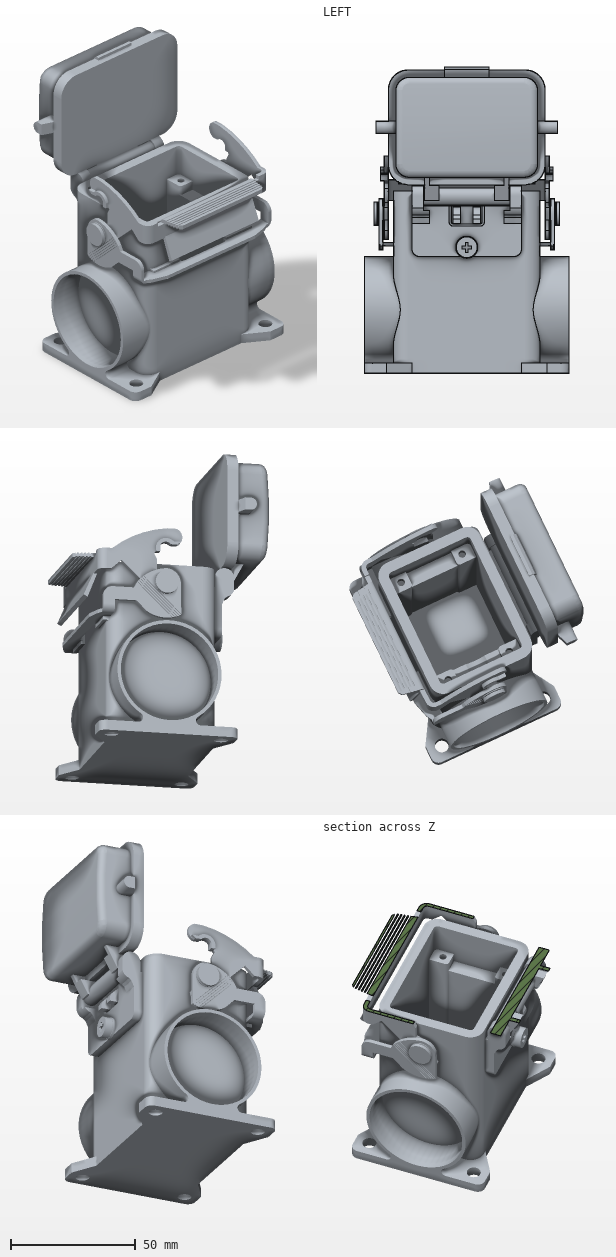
import cadquery as cq
import math


BODY_X = 44.6
BODY_Y = 58.6
BODY_HEIGHT = 73.1
BODY_CORNER = 5.8
CAVITY_X = 36.2
CAVITY_Y = 50.2
CAVITY_CORNER = 1.6
FLANGE_X = 57.0
FLANGE_Y = 82.0
FLANGE_THICK = 4.1
FLANGE_CORNER = 3.1
TAB_STRAIGHT_Y = 32.2
TAB_ROOT_Y = 21.9
MOUNT_HOLE_X = 22.5
MOUNT_HOLE_Y = 34.9
MOUNT_HOLE_D = 5.6

BOSS_X = 8.1
BOSS_Y = 6.6
BOSS_TOP = 60.0
BOSS_CORNER = 1.2
BOSS_HOLE_X = 13.5
BOSS_HOLE_Y = 22.0
BOSS_HOLE_D = 3.0
BOSS_HOLE_DEPTH = 12.0
LEDGE_TOP = 56.0
LEDGE_Y = {1: 6.6, -1: 5.9}
LEDGE_GROOVE_R = 6.0
LEDGE_GROOVE_WIDTH = 8.4

PORT_Z = 25.5
PORT_R = 21.4
PORT_BORE_R = 20.0
PORT_DEPTH = 13.5
PORT_WEB_FILLET = 1.9

OVERALL_HEIGHT = 122.73
COVER_Z = 98.5
RIM_FACE_X = -26.0
RIM_THICK = 4.6
RIM_Y = 62.8
RIM_Z = 46.0
RIM_CORNER = 8.0
DOME_CROWN_X = -44.4
DOME_EDGE_X = -43.2
DOME_Y = 56.8
DOME_Z = 40.0
DOME_CORNER = 5.4
DOME_FILLET = 2.8
LIFT_TAB_Y = 18.0
LIFT_TAB_FRONT_X = -28.5
PIN_X = -34.5
PIN_R = 2.5
PIN_END_Y = 36.4
PIN_TAPER_X = -32.3
PIN_TAPER_Y = 32.0

PLATE_FACE_X = -26.0
PLATE_BOTTOM = 46.8
PLATE_TOP = 67.0
PLATE_Y = 43.8
PLATE_CORNER = 3.0
HINGE_X = -27.1
HINGE_Z = 71.2
HINGE_R = 3.9
BARREL_Z = 70.8
BARREL_R = 3.4
KNUCKLE_OUTER_Y = 21.9
KNUCKLE_INNER_Y = 17.3
KNUCKLE_FOOT_Y = 15.0
KNUCKLE_FOOT_TOP = 65.3
ARM_OUTER_Y = 16.9
ARM_INNER_Y = 14.9
ARM_FOOT_Y = 11.1
ARM_FOOT_TOP = 75.3
WINDOW_Y = 14.1
WINDOW_BOTTOM = 59.0
WINDOW_DEPTH = 1.2
WINDOW_CORNER = 1.6
WINDOW_BEVEL = 0.9
PRONG_INNER_Y = 2.5
PRONG_OUTER_Y = 5.5
SCREW_Z = 50.5
SCREW_R = 4.2
SCREW_FACE_X = -30.3
WASHER_R = 4.4
WASHER_THICK = 1.1
RECESS_LENGTH = 4.0
RECESS_WIDTH = 1.2
RECESS_DEPTH = 1.2

PIVOT_Z = 64.0
PIVOT_PIN_R = 2.9
PIVOT_HEAD_R = 4.7
PIVOT_HEAD_INNER_Y = 35.9
PIVOT_HEAD_OUTER_Y = 37.2
COLLAR_GAP = 0.3
LEVER_ROUND_R = 6.0
TAIL_X = -2.1
TAIL_Z = 57.3
TAIL_R = 3.7
INNER_PLATE_Y = (31.4, 33.1)
OUTER_PLATE_Y = (33.6, 35.2)
HOOK_LIP_OUTER_Y = 34.6
HOOK_NOSE = (-4.6, 80.1)
HOOK_MOUTH_START = (-2.1, 80.2)
HOOK_MOUTH_MID = (0.2, 81.1)
HOOK_MOUTH_END = (2.25, 79.7)
HOOK_LIP_END_X = 4.0
HOOK_LIP_END_Z = 77.1
UPPER_BAR_X = (25.2, 27.1)
UPPER_BAR_Z = (69.2, 77.6)
UPPER_BEND_X = 22.0
BEND_R = 3.4
GRIP_END_X = 35.4
GRIP_THICK = 1.7
GRIP_BEND_R = 1.5
GRIP_ROOT_Y = 24.3
GRIP_END_Y = 22.6
GRIP_CORNER = 1.2
GRIP_GROOVES = 5
GRIP_GROOVE_WIDTH = 0.7
GRIP_GROOVE_DEPTH = 0.35
GRIP_GAP_Y = 3.0
GRIP_GAP_DEPTH = 1.7
SKIRT_HALF_Y = 23.5
LOWER_BAR_Z = 51.0
LOWER_BAR_THICK = 1.5
LOWER_BAR_INNER_X = 21.0
LOWER_BAR_X = 27.0
LOWER_BAR_Y = 30.4
LOWER_LIP_X = 29.0
LOWER_NOTCH_X = 24.6
LOWER_NOTCH_Y = 12.2
LOWER_NOTCH_CORNER = 1.5
BAR_WALL_OVERLAP = 0.5
LOWER_BEND_Z = 54.0
LOWER_BEND_R = 2.8
LOWER_END_X = 25.8
KNURL_START = (-6.2, 51.1)
KNURL_LENGTH = 21.5
KNURL_PITCH = 0.9
KNURL_COUNT = 5
KNURL_WIDTH = 0.35
KNURL_DEPTH = 0.4
KNURL_ANGLE = 44
LUG_X = 23.9
LUG_INNER_Y = 12.5
LUG_OUTER_Y = 26.5
LUG_BOTTOM = 49.5
LUG_HEIGHT = 4.0

OVERLAP = 1.0


def box(x, y, z):
    """Box spanning the (low, high) ranges x, y and z."""
    size = [high - low for low, high in (x, y, z)]
    centre = tuple((low + high) / 2 for low, high in (x, y, z))
    return cq.Workplane("XY").box(*size).translate(centre)


def along_y(profile, y_low, y_high):
    """Extrude a closed XZ sketch from y_low to y_high."""
    return profile.extrude(y_high - y_low).translate((0, y_high, 0))


def outline(points):
    return cq.Workplane("XZ").polyline(points).close()


def disc_y(x, z, radius, y_low, y_high):
    return along_y(cq.Workplane("XZ").center(x, z).circle(radius), y_low, y_high)


def disc_x(z, radius, x_low, x_high):
    return cq.Workplane("YZ").center(0, z).circle(radius).extrude(x_high - x_low).translate((x_low, 0, 0))


def both_sides(solid):
    return solid.union(solid.mirror("XZ"))


def make_flange():
    plate = box((-FLANGE_X / 2, FLANGE_X / 2), (-FLANGE_Y / 2, FLANGE_Y / 2), (0, FLANGE_THICK))
    plate = plate.edges("|Z").fillet(FLANGE_CORNER)
    for side in (-1, 1):
        notch = [
            (side * BODY_X / 2, TAB_ROOT_Y),
            (side * FLANGE_X / 2, TAB_STRAIGHT_Y),
            (side * FLANGE_X / 2, -TAB_STRAIGHT_Y),
            (side * BODY_X / 2, -TAB_ROOT_Y),
        ]
        plate = plate.cut(cq.Workplane("XY").polyline(notch).close().extrude(FLANGE_THICK))
    holes = cq.Workplane("XY").rect(2 * MOUNT_HOLE_X, 2 * MOUNT_HOLE_Y, forConstruction=True).vertices()
    return plate.cut(holes.circle(MOUNT_HOLE_D / 2).extrude(FLANGE_THICK))


def make_port():
    """Cable entry stub on the -Y side, joined to the flange by a filleted web."""
    end_y = -FLANGE_Y / 2
    root_y = -CAVITY_Y / 2
    stub = disc_y(0, PORT_Z, PORT_R, end_y, root_y)
    fillet_z = FLANGE_THICK + PORT_WEB_FILLET
    reach = PORT_R + PORT_WEB_FILLET
    fillet_x = math.sqrt(reach ** 2 - (PORT_Z - fillet_z) ** 2)
    touch_x = fillet_x * PORT_R / reach
    touch_z = PORT_Z - (PORT_Z - fillet_z) * PORT_R / reach
    web = outline([
        (-fillet_x, FLANGE_THICK), (fillet_x, FLANGE_THICK), (touch_x, touch_z), (-touch_x, touch_z),
    ])
    web = along_y(web, end_y, root_y)
    for side in (-1, 1):
        web = web.cut(disc_y(side * fillet_x, fillet_z, PORT_WEB_FILLET, end_y, root_y))
    return stub.union(web)


def make_cavity():
    """Inside space of the housing, with the corner bosses and end ledges left standing."""
    half_x = CAVITY_X / 2
    half_y = CAVITY_Y / 2
    space = box((-half_x, half_x), (-half_y, half_y), (FLANGE_THICK, BODY_HEIGHT))
    space = space.edges("|Z").fillet(CAVITY_CORNER)
    boss = box((half_x - BOSS_X, half_x), (half_y - BOSS_Y, half_y), (FLANGE_THICK, BOSS_TOP))
    boss = boss.edges("|Z and <X and <Y").fillet(BOSS_CORNER)
    hole = cq.Workplane("XY").center(BOSS_HOLE_X, BOSS_HOLE_Y).circle(BOSS_HOLE_D / 2)
    hole = hole.extrude(-BOSS_HOLE_DEPTH).translate((0, 0, BOSS_TOP))
    boss = both_sides(boss.cut(hole))
    furniture = boss.union(boss.mirror("YZ"))
    for side, width in LEDGE_Y.items():
        y_range = sorted((side * half_y, side * (half_y - width)))
        furniture = furniture.union(box((-half_x, half_x), y_range, (FLANGE_THICK, LEDGE_TOP)))
    groove_rise = math.sqrt(LEDGE_GROOVE_R ** 2 - (LEDGE_GROOVE_WIDTH / 2) ** 2)
    groove = disc_y(0, LEDGE_TOP + groove_rise, LEDGE_GROOVE_R, half_y - LEDGE_Y[1], half_y)
    return space.cut(furniture.cut(groove))


def make_housing():
    body = box((-BODY_X / 2, BODY_X / 2), (-BODY_Y / 2, BODY_Y / 2), (0, BODY_HEIGHT))
    body = body.edges("|Z").fillet(BODY_CORNER)
    body = body.union(make_flange()).union(both_sides(make_port()))
    bore = disc_y(0, PORT_Z, PORT_BORE_R, -FLANGE_Y / 2, PORT_DEPTH - FLANGE_Y / 2)
    return body.cut(make_cavity()).cut(both_sides(bore))


def make_cover():
    dome_rear_x = RIM_FACE_X - RIM_THICK
    dome_top = COVER_Z + DOME_Z / 2
    dome_bottom = COVER_Z - DOME_Z / 2
    rim = box((dome_rear_x, RIM_FACE_X), (-RIM_Y / 2, RIM_Y / 2), (COVER_Z - RIM_Z / 2, COVER_Z + RIM_Z / 2))
    rim = rim.edges("|X").fillet(RIM_CORNER)

    crowned = (
        cq.Workplane("XZ")
        .moveTo(dome_rear_x, dome_bottom)
        .lineTo(DOME_EDGE_X, dome_bottom)
        .threePointArc((DOME_CROWN_X, COVER_Z), (DOME_EDGE_X, dome_top))
        .lineTo(dome_rear_x, dome_top)
        .close()
    )
    dome = along_y(crowned, -DOME_Y / 2, DOME_Y / 2)
    blank = box((DOME_CROWN_X, dome_rear_x), (-DOME_Y / 2, DOME_Y / 2), (dome_bottom, dome_top))
    dome = dome.intersect(blank.edges("|X").fillet(DOME_CORNER))
    dome = dome.faces("<X").edges().fillet(DOME_FILLET)

    lift_tab = outline([
        (-31.9, dome_top), (-31.1, 121.6), (-29.9, OVERALL_HEIGHT),
        (LIFT_TAB_FRONT_X, OVERALL_HEIGHT), (LIFT_TAB_FRONT_X, dome_top),
    ])
    lift_tab = along_y(lift_tab, -LIFT_TAB_Y / 2, LIFT_TAB_Y / 2)
    return rim.union(dome).union(lift_tab).union(both_sides(make_cover_pin()))


def make_cover_pin():
    """Locking pin on the +Y flank of the cover, tapered towards the rim."""
    rim_x = RIM_FACE_X - RIM_THICK
    pin = (
        cq.Workplane("XZ")
        .moveTo(rim_x, COVER_Z - PIN_R)
        .lineTo(PIN_X, COVER_Z - PIN_R)
        .threePointArc((PIN_X - PIN_R, COVER_Z), (PIN_X, COVER_Z + PIN_R))
        .lineTo(rim_x, COVER_Z + PIN_R)
        .close()
    )
    pin = along_y(pin, DOME_Y / 2 - OVERLAP, PIN_END_Y)
    taper = cq.Workplane("XY").polyline([
        (PIN_TAPER_X, PIN_END_Y), (rim_x, PIN_END_Y), (rim_x, PIN_TAPER_Y),
    ]).close().extrude(COVER_Z + 2 * PIN_R)
    return pin.cut(taper)


def make_hinge_arm():
    """Arm on the +Y half of the cover that reaches down to the hinge barrel."""
    rim_bottom = COVER_Z - RIM_Z / 2
    profile = [
        (-36.3, COVER_Z - DOME_Z / 2 + 0.5), (-31.0, 69.3), (HINGE_X, 69.3),
        (HINGE_X, rim_bottom + OVERLAP), (-30.6, COVER_Z - DOME_Z / 2 + 0.5),
    ]
    arm = along_y(outline(profile), ARM_INNER_Y, ARM_OUTER_Y)
    foot = along_y(outline(profile), ARM_FOOT_Y, ARM_OUTER_Y)
    foot = foot.intersect(box((DOME_CROWN_X, 0), (0, ARM_OUTER_Y), (0, ARM_FOOT_TOP)))
    return arm.union(foot)


def make_knuckle():
    """Hinge knuckle on the +Y half of the bracket."""
    left_x = HINGE_X - HINGE_R
    right_x = HINGE_X + HINGE_R
    profile = (
        cq.Workplane("XZ")
        .moveTo(left_x, 66.2)
        .lineTo(left_x, HINGE_Z)
        .threePointArc((HINGE_X, HINGE_Z + HINGE_R), (right_x, HINGE_Z))
        .lineTo(right_x, 60.0)
        .lineTo(PLATE_FACE_X, 60.0)
        .lineTo(-27.1, 62.4)
        .lineTo(-28.1, 63.4)
        .threePointArc((-30.2, 64.7), (left_x, 66.2))
        .close()
    )
    full = along_y(profile, KNUCKLE_FOOT_Y, KNUCKLE_OUTER_Y)
    relief_z = (KNUCKLE_FOOT_TOP, HINGE_Z + HINGE_R)
    relief = box((DOME_CROWN_X, 0), (KNUCKLE_FOOT_Y, KNUCKLE_INNER_Y), relief_z)
    return full.cut(relief)


def make_bracket():
    wall_x = OVERLAP - BODY_X / 2
    plate = box((PLATE_FACE_X, wall_x), (-PLATE_Y / 2, PLATE_Y / 2), (PLATE_BOTTOM, PLATE_TOP))
    plate = plate.edges("|X and <Z").fillet(PLATE_CORNER)
    window = box(
        (PLATE_FACE_X, PLATE_FACE_X + WINDOW_DEPTH),
        (-WINDOW_Y / 2, WINDOW_Y / 2),
        (WINDOW_BOTTOM, PLATE_TOP + 2 * WINDOW_BEVEL),
    )
    window = window.edges("|X and <Z").fillet(WINDOW_CORNER).faces(">X").chamfer(WINDOW_BEVEL)
    plate = plate.cut(window)
    prong = outline([
        (PLATE_FACE_X + WINDOW_DEPTH, 60.0), (-29.0, 60.0), (-29.0, 61.9), (-28.2, 63.4),
        (PLATE_FACE_X + WINDOW_DEPTH, 66.6),
    ])
    prong = along_y(prong, PRONG_INNER_Y, PRONG_OUTER_Y)
    barrel = disc_y(HINGE_X, BARREL_Z, BARREL_R, -KNUCKLE_INNER_Y, KNUCKLE_INNER_Y)
    sides = both_sides(prong.union(make_knuckle()).union(make_hinge_arm()))
    return plate.union(barrel).union(sides).union(make_screw())


def make_screw():
    screw = disc_x(SCREW_Z, SCREW_R, SCREW_FACE_X, PLATE_FACE_X)
    screw = screw.union(disc_x(SCREW_Z, WASHER_R, PLATE_FACE_X - WASHER_THICK, PLATE_FACE_X))
    half_long = RECESS_LENGTH / 2
    half_wide = RECESS_WIDTH / 2
    depth = (SCREW_FACE_X, SCREW_FACE_X + RECESS_DEPTH)
    for half_y, half_z in ((half_long, half_wide), (half_wide, half_long)):
        screw = screw.cut(box(depth, (-half_y, half_y), (SCREW_Z - half_z, SCREW_Z + half_z)))
    return screw


def make_pivot():
    pin = disc_y(0, PIVOT_Z, PIVOT_PIN_R, INNER_PLATE_Y[0], PIVOT_HEAD_INNER_Y)
    head = disc_y(0, PIVOT_Z, PIVOT_HEAD_R, PIVOT_HEAD_INNER_Y, PIVOT_HEAD_OUTER_Y)
    collar = disc_y(0, PIVOT_Z, PIVOT_HEAD_R, OUTER_PLATE_Y[1], PIVOT_HEAD_INNER_Y - COLLAR_GAP)
    return pin.union(head).union(collar)


def upper_lever_profile():
    bar_low, bar_high = UPPER_BAR_Z
    return (
        cq.Workplane("XZ")
        .moveTo(-4.6, 87.1)
        .threePointArc((-7.1, 83.8), HOOK_NOSE)
        .lineTo(*HOOK_MOUTH_START)
        .threePointArc(HOOK_MOUTH_MID, HOOK_MOUTH_END)
        .lineTo(HOOK_MOUTH_END[0], HOOK_LIP_END_Z)
        .lineTo(HOOK_LIP_END_X, HOOK_LIP_END_Z)
        .lineTo(4.5, 76.3)
        .lineTo(3.3, 74.0)
        .lineTo(3.3, 68.5)
        .lineTo(-3.0, 66.5)
        .lineTo(-3.4, 61.5)
        .lineTo(TAIL_X - TAIL_R, TAIL_Z)
        .threePointArc((TAIL_X, TAIL_Z - TAIL_R), (TAIL_X + TAIL_R, TAIL_Z))
        .lineTo(17.9, 72.9)
        .lineTo(22.0, bar_low)
        .lineTo(23.8, bar_low)
        .lineTo(23.8, bar_high)
        .lineTo(21.7, bar_high)
        .threePointArc((11.5, 83.8), (-0.8, 87.1))
        .close()
    )


def lever_blade_profile():
    """Rounded blade of the lower lever around the pivot."""
    diagonal = LEVER_ROUND_R / math.sqrt(2)
    return (
        cq.Workplane("XZ")
        .moveTo(*KNURL_START)
        .lineTo(-LEVER_ROUND_R, PIVOT_Z)
        .threePointArc((-diagonal, PIVOT_Z + diagonal), (0, PIVOT_Z + LEVER_ROUND_R))
        .threePointArc((6.5, 68.1), (12.1, 63.4))
        .lineTo(13.2, 61.2)
        .lineTo(13.2, 56.9)
        .lineTo(8.1, 51.8)
        .threePointArc((1.0, 49.5), KNURL_START)
        .close()
    )


def make_hook_lip():
    """Outward lip that lines the mouth of the upper lever hook."""
    lip = (
        cq.Workplane("XZ")
        .moveTo(-6.2, 81.4)
        .lineTo(-3.3, 81.4)
        .threePointArc((1.0, 82.5), (HOOK_LIP_END_X, 79.4))
        .lineTo(HOOK_LIP_END_X, HOOK_LIP_END_Z)
        .lineTo(HOOK_MOUTH_END[0], HOOK_LIP_END_Z)
        .lineTo(*HOOK_MOUTH_END)
        .threePointArc(HOOK_MOUTH_MID, HOOK_MOUTH_START)
        .lineTo(*HOOK_NOSE)
        .close()
    )
    return along_y(lip, INNER_PLATE_Y[0], HOOK_LIP_OUTER_Y)


def make_upper_frame():
    """Cross bar of the upper lever, bent round at both ends into the side plates."""
    inner_x, outer_x = UPPER_BAR_X
    inner_y, outer_y = INNER_PLATE_Y
    outer = box((UPPER_BEND_X, outer_x), (-outer_y, outer_y), UPPER_BAR_Z)
    inner = box((UPPER_BEND_X, inner_x), (-inner_y, inner_y), UPPER_BAR_Z)
    outer = outer.edges("|Z and >X").fillet(BEND_R)
    inner = inner.edges("|Z and >X").fillet(BEND_R - (outer_y - inner_y))
    frame = outer.cut(inner)
    gap_y = GRIP_ROOT_Y + GRIP_GAP_Y
    top = UPPER_BAR_Z[1]
    return frame.cut(box((inner_x, outer_x), (-gap_y, gap_y), (top - GRIP_GAP_DEPTH, top)))


def make_grip():
    """Grooved finger plate and the sloping skirt below it, both off the upper cross bar."""
    root_x = UPPER_BAR_X[0]
    bar_low, top = UPPER_BAR_Z
    bottom = top - GRIP_THICK
    plate = cq.Workplane("XY").polyline([
        (root_x, -GRIP_ROOT_Y), (GRIP_END_X, -GRIP_END_Y), (GRIP_END_X, GRIP_END_Y), (root_x, GRIP_ROOT_Y),
    ]).close().extrude(GRIP_THICK).edges("|Z and >X").chamfer(GRIP_CORNER)
    plate = plate.translate((0, 0, bottom))
    plate = plate.edges("<X and >Z").fillet(GRIP_BEND_R)
    pitch = (GRIP_END_X - UPPER_BAR_X[1]) / (GRIP_GROOVES + 1)
    for index in range(GRIP_GROOVES):
        x = UPPER_BAR_X[1] + pitch * (index + 1)
        span = (x - GRIP_GROOVE_WIDTH / 2, x + GRIP_GROOVE_WIDTH / 2)
        for z_range in ((top - GRIP_GROOVE_DEPTH, top), (bottom, bottom + GRIP_GROOVE_DEPTH)):
            plate = plate.cut(box(span, (-GRIP_ROOT_Y, GRIP_ROOT_Y), z_range))
    skirt = outline([(25.5, bar_low + 0.5), (27.1, bar_low + 0.5), (31.2, 60.3), (29.6, 59.4)])
    return plate.union(along_y(skirt, -SKIRT_HALF_Y, SKIRT_HALF_Y))


def make_knurl_grooves():
    """Parallel slanted grooves across the outer face of the lower lever."""
    start_x, start_z = KNURL_START
    face_y = OUTER_PLATE_Y[1]
    grooves = cq.Workplane("XY")
    for index in range(KNURL_COUNT):
        groove = box((-1, KNURL_LENGTH), (face_y - KNURL_DEPTH, face_y), (-KNURL_WIDTH / 2, KNURL_WIDTH / 2))
        groove = groove.translate((0, 0, -KNURL_PITCH * index))
        groove = groove.rotate((0, 0, 0), (0, 1, 0), -KNURL_ANGLE).translate((start_x, 0, start_z))
        grooves = grooves.add(groove)
    return grooves.combine()


def make_lower_arm():
    """Arm of the lower lever from the blade to the cross bar on the +X side."""
    profile = (
        cq.Workplane("XZ")
        .moveTo(8.1, 51.8)
        .lineTo(12.2, 55.9)
        .lineTo(LOWER_BAR_INNER_X, 55.9)
        .lineTo(LOWER_BAR_INNER_X, LOWER_BEND_Z)
        .lineTo(LOWER_END_X, LOWER_BEND_Z)
        .lineTo(LOWER_END_X, 57.8)
        .threePointArc((24.7, 60.1), (22.0, 61.2))
        .lineTo(8.1, 61.2)
        .close()
    )
    return along_y(profile, *OUTER_PLATE_Y)


def make_lower_bar():
    """Cross bar of the lower lever: a flat plate notched round the middle of the body wall."""
    plate_y, outer_y = OUTER_PLATE_Y
    flat_y = outer_y - LOWER_BEND_R
    half = [
        (LOWER_BAR_INNER_X, flat_y), (LOWER_END_X, flat_y),
        (LOWER_BAR_X, LOWER_BAR_Y), (LOWER_LIP_X, SKIRT_HALF_Y),
    ]
    mirrored = [(x, -y) for x, y in reversed(half)]
    plate = cq.Workplane("XY").polyline(half + mirrored).close().extrude(LOWER_BAR_THICK)
    plate = plate.translate((0, 0, LOWER_BAR_Z))
    bend = box((LOWER_BAR_INNER_X, LOWER_END_X), (BODY_Y / 2, outer_y), (LOWER_BAR_Z, LOWER_BEND_Z))
    bend = bend.edges("|X and >Y and <Z").fillet(LOWER_BEND_R)
    inner_corner = (LOWER_BAR_Z + LOWER_BAR_THICK, LOWER_BEND_Z)
    bend = bend.cut(box((LOWER_BAR_INNER_X, LOWER_END_X), (BODY_Y / 2, plate_y), inner_corner))
    z_range = (LOWER_BAR_Z, LOWER_BAR_Z + LOWER_BAR_THICK)
    notch = box((LOWER_BAR_INNER_X, LOWER_NOTCH_X), (-LOWER_NOTCH_Y, LOWER_NOTCH_Y), z_range)
    inside = box((0, BODY_X / 2 - BAR_WALL_OVERLAP), (-CAVITY_Y / 2, CAVITY_Y / 2), z_range)
    plate = plate.cut(notch.edges("|Z and >X").fillet(LOWER_NOTCH_CORNER)).cut(inside)
    lug_z = (LUG_BOTTOM, LUG_BOTTOM + LUG_HEIGHT)
    lug = box((BODY_X / 2 - OVERLAP, LUG_X), (LUG_INNER_Y, LUG_OUTER_Y), lug_z)
    return plate.union(both_sides(bend.union(lug)))


def make_levers():
    side = along_y(upper_lever_profile(), *INNER_PLATE_Y)
    side = side.union(make_hook_lip())
    lower_side = along_y(lever_blade_profile(), *OUTER_PLATE_Y).union(make_lower_arm())
    side = side.union(lower_side.cut(make_knurl_grooves())).union(make_pivot())
    return both_sides(side).union(make_upper_frame()).union(make_grip()).union(make_lower_bar())


result = make_housing().union(make_bracket()).union(make_cover()).union(make_levers())